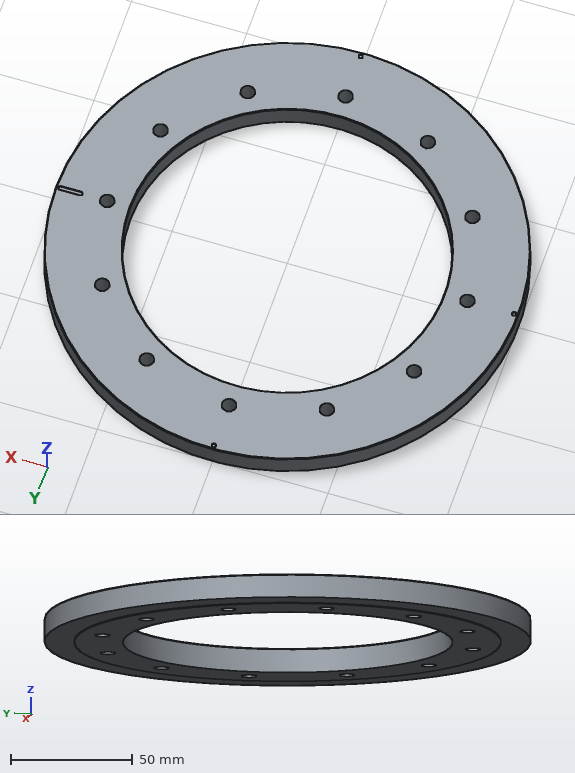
import cadquery as cq

outer_diameter = 200.5
bore_diameter = 136.0
total_height = 10.0
edge_chamfer = 0.5

face_diameter = 176.0
face_height = 0.5

bolt_count = 12
bolt_hole_diameter = 6.0
bolt_circle_radius = 78.0

mark_width = 1.8
mark_depth = 0.6
mark_inset = 2.0
mark_radius = outer_diameter / 2 - mark_inset
slot_length = 10.5
dot_angles = (90, 180, 270)


def make_ring():
    """Flat ring with a raised underside face and chamfered top edges."""
    flange = (
        cq.Workplane("XY")
        .workplane(offset=face_height)
        .circle(outer_diameter / 2)
        .extrude(total_height - face_height)
    )
    raised_face = cq.Workplane("XY").circle(face_diameter / 2).extrude(face_height)
    bore = cq.Workplane("XY").circle(bore_diameter / 2).extrude(total_height)
    ring = flange.union(raised_face).cut(bore)
    return ring.faces(">Z").edges().chamfer(edge_chamfer)


def make_bolt_holes():
    """Through holes equally spaced on the bolt circle."""
    return (
        cq.Workplane("XY")
        .polarArray(bolt_circle_radius, 0, 360, bolt_count)
        .circle(bolt_hole_diameter / 2)
        .extrude(total_height)
    )


def make_dot(angle):
    """Round index dot near the rim at the given angle."""
    return (
        cq.Workplane("XY")
        .workplane(offset=total_height)
        .polarArray(mark_radius, angle, 360, 1)
        .circle(mark_width / 2)
        .extrude(-mark_depth)
    )


def make_slot():
    """Radial index slot on +X, its outer end centred on the dot circle."""
    slot_centre = mark_radius + mark_width / 2 - slot_length / 2
    return (
        cq.Workplane("XY")
        .workplane(offset=total_height)
        .center(slot_centre, 0)
        .slot2D(slot_length, mark_width)
        .extrude(-mark_depth)
    )


result = make_ring().cut(make_bolt_holes()).cut(make_slot())
for dot_angle in dot_angles:
    result = result.cut(make_dot(dot_angle))